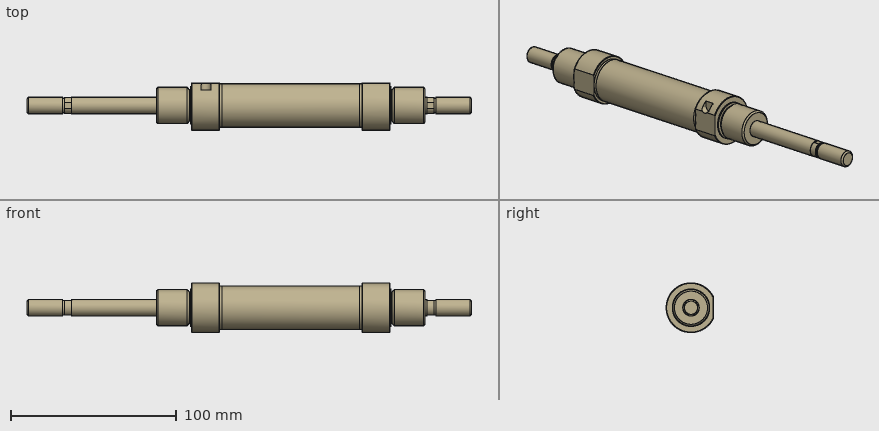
import cadquery as cq

total_length = 268.0
left_cover_start = 78.0
cover_length = 39.7
body_length = 162.0
body_middle = left_cover_start + body_length / 2

nose_radius = 11.0
nose_length = 18.5
nose_chamfer = 1.0
groove_radius = 9.5
groove_end = 20.5
collar_radius = 11.3
head_start = 21.3
head_end = 38.0
head_radius = 15.0
head_chamfer = 0.3
flat_offset = 13.5
spigot_radius = 13.2

notch_width = 6.0
notch_offset = 30.0
notch_radius = notch_width / 2
notch_floor_y = 9.3
notch_center_z = 8.8
notch_center_x = left_cover_start + notch_offset

tube_radius = 13.2

rod_radius = 5.0
tip_chamfer = 1.0
thread_length = 21.5
undercut_radius = 4.5
undercut_length = 1.3
wrench_radius = 4.9
wrench_length = 4.2
wrench_half_width = 4.5


def rod_bore(start, length):
    """Cylinder that clears the rod through a body."""
    return cq.Workplane("YZ", origin=(start, 0, 0)).circle(rod_radius).extrude(length)


def mirrored_cover(cover):
    """Copy of a left-hand cover at the other end of the tube."""
    return cover.mirror("YZ", (body_middle, 0, 0))


def plain_cover():
    """Left-hand end cover: threaded nose, groove, collar, flatted head and shoulder."""
    groove_depth = nose_radius - groove_radius
    x0 = left_cover_start
    cover = (
        cq.Workplane("XY")
        .moveTo(x0, rod_radius)
        .lineTo(x0, nose_radius - nose_chamfer)
        .lineTo(x0 + nose_chamfer, nose_radius)
        .lineTo(x0 + nose_length, nose_radius)
        .lineTo(x0 + nose_length + groove_depth, groove_radius)
        .lineTo(x0 + groove_end, groove_radius)
        .lineTo(x0 + groove_end, collar_radius)
        .lineTo(x0 + head_start, collar_radius)
        .lineTo(x0 + head_start, head_radius - head_chamfer)
        .lineTo(x0 + head_start + head_chamfer, head_radius)
        .lineTo(x0 + head_end - head_chamfer, head_radius)
        .lineTo(x0 + head_end, head_radius - head_chamfer)
        .lineTo(x0 + head_end, spigot_radius)
        .lineTo(x0 + cover_length, spigot_radius)
        .lineTo(x0 + cover_length, rod_radius)
        .close()
        .revolve(360, (0, 0, 0), (1, 0, 0))
    )
    beyond_flat = cq.Workplane("XY").box(
        cover_length, head_radius, 2 * head_radius, centered=(False, False, True)
    ).translate((x0, flat_offset, 0))
    return cover.cut(beyond_flat)


def cover_notch():
    """U-shaped cutter: round bottom, open upwards and towards +Y."""
    depth = head_radius - notch_floor_y
    rounded = (
        cq.Workplane("XZ", origin=(notch_center_x, notch_floor_y, notch_center_z))
        .circle(notch_radius)
        .extrude(-depth)
    )
    upper = cq.Workplane("XY").box(
        notch_width, depth, head_radius, centered=(True, False, False)
    ).translate((notch_center_x, notch_floor_y, notch_center_z))
    return rounded.union(upper)


def tube():
    """Cylinder tube between the two covers."""
    start = left_cover_start + cover_length
    length = body_length - 2 * cover_length
    blank = cq.Workplane("YZ", origin=(start, 0, 0)).circle(tube_radius).extrude(length)
    return blank.cut(rod_bore(start, length))


def turned_ring(start, length, radius):
    """Ring that turns the rod down to the given radius."""
    return cq.Workplane("YZ", origin=(start, 0, 0)).circle(rod_radius).circle(radius).extrude(length)


def rod_end_cutter():
    """Undercut, wrench seat and the two wrench flats of the left rod end."""
    seat_start = thread_length + undercut_length
    undercut = turned_ring(thread_length, undercut_length, undercut_radius)
    cutter = undercut.union(turned_ring(seat_start, wrench_length, wrench_radius))
    for side in (-1, 1):
        flat = cq.Workplane("XY").box(
            wrench_length, 2 * rod_radius, rod_radius, centered=(False, True, True)
        ).translate((seat_start, 0, side * (wrench_half_width + rod_radius / 2)))
        cutter = cutter.union(flat)
    return cutter


def piston_rod():
    """One rod through the whole cylinder with the same end at both tips."""
    rod = (
        cq.Workplane("YZ").circle(rod_radius).extrude(total_length)
        .faces("<X or >X").chamfer(tip_chamfer)
    )
    cutter = rod_end_cutter()
    return rod.cut(cutter).cut(cutter.mirror("YZ", (total_length / 2, 0, 0)))


left_cover = plain_cover().cut(cover_notch())
right_cover = mirrored_cover(plain_cover())
cylinder_tube = tube()
rod = piston_rod()

result = cq.Compound.makeCompound(
    [left_cover.val(), right_cover.val(), cylinder_tube.val(), rod.val()]
)